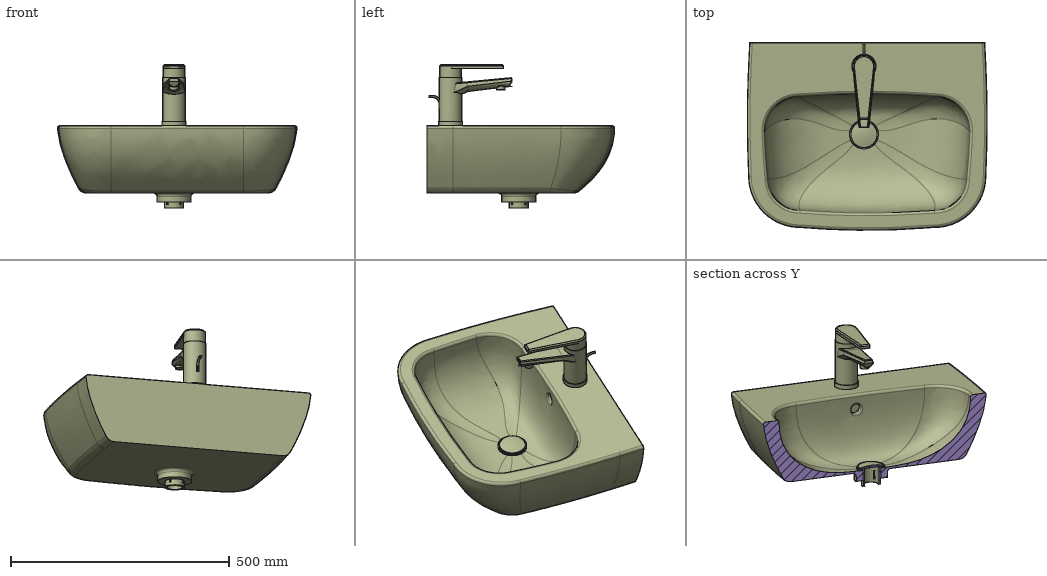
import cadquery as cq
import math


BASIN_WIDTH = 549.8
BASIN_DEPTH = 429.45
BASIN_HEIGHT = 154.5
BACK_TAPER = 5.5
REAR_SEAM_TAPER = 2.5
REAR_SEAM_Y = -60
FRONT_SEAM_Y = -307
SIDE_FRONT_TAPER = 3.0
FRONT_SEAM_X = 152
FRONT_BOW = 6.5
WIDTH_DROP = 55.0
WIDTH_POWER = 1.6
DEPTH_DROP = 87.0
DEPTH_POWER = 2.27
SEAM_DROP_SHARE = 0.33
SHELL_LEVELS = 5
EDGE_MARGIN = 1
RIM_FILLET = 6
UNDERSIDE_FILLET = 22
CORNER_BULGE = math.sqrt(2) - 1

FITTING_X = -7.5
TAP_Y = -54
DRAIN_Y = -210

OPENING_SIDE_X = 235
OPENING_FRONT_SIDE_X = 228
OPENING_BACK_X = 158
OPENING_FRONT_X = 154.5
OPENING_BACK_Y = -123
OPENING_SIDE_REAR_Y = -202
OPENING_SIDE_FRONT_Y = -312
OPENING_FRONT_Y = -384
OPENING_BOW = 6
REAR_SEAM_BULGE = 27
SIDE_SEAM_BULGE = 14
FRONT_SEAM_BULGE = 25
BULGE_PEAK = 4 / 27
SIDE_BOW = 1.0
BOWL_DEPTH = 149
BOWL_POWER = 2.4
BOWL_LEVELS = 6
BOWL_FLOOR_RADIUS = 33
FLOOR_SEAM_ANGLES = (38, 17, -24, -42)
BOWL_FILLET = 6
OVERFLOW_DIAMETER = 25
OVERFLOW_Z = -37
OVERFLOW_LENGTH = 40
OVERFLOW_FILLET = 3
OVERFLOW_MOUTH = 20

COLLAR_DIAMETER = 78
COLLAR_BOTTOM = -175
COLLAR_FLARE = 8

WASTE_DIAMETER = 44
WASTE_BORE = 35
WASTE_BOTTOM = -189
WASTE_FLANGE_DIAMETER = 2 * BOWL_FLOOR_RADIUS
WASTE_FLANGE_HEIGHT = 3
SLOT_COUNT = 4
SLOT_WIDTH = 3
SLOT_BOTTOM = -181
SLOT_HEIGHT = 20
PLUG_DIAMETER = 60
PLUG_EDGE = 3
PLUG_DOME = 4

TAP_DIAMETER = 52
BASE_RING_DIAMETER = 55
BASE_RING_HEIGHT = 10
TAP_TOP = 110
CAP_DIAMETER = 50
LEVER_BOTTOM = 130.5
LEVER_TOP = 139.45
LEVER_END_Y = -175.5
LEVER_END_HALF_WIDTH = 12
LEVER_CHAMFER = 3
LEVER_END_FILLET = 3

SPOUT_END_Y = -194.5
SPOUT_BEVEL = 2
SPOUT_ROOT = (-58, 97, 74, 61, 24, 25)
SPOUT_KNEE = (-93, 100.3, 90, 78, 20.3, 22)
SPOUT_TIP = (SPOUT_END_Y, 110, 102, 90, 9.5, 11.5)
SPOUT_TIP_SLANT = 6
SPOUT_TIP_SLANT_HEIGHT = 11

AERATOR_DIAMETER = 20
AERATOR_Y = -169
AERATOR_BOTTOM = 82
AERATOR_TOP = 92

ROD_DIAMETER = 5
ROD_END_Y = -4.75
ROD_TOP = 67
ROD_BEND_Y = -12
ROD_BEND_RADIUS = 18
ROD_BOTTOM = 38


def between(start, end, share):
    return tuple(a + share * (b - a) for a, b in zip(start, end))


def corner_point(side, end):
    """Middle of the round corner that joins a side end to a front or back end."""
    chord_middle = between(side, end, 0.5)
    return between(chord_middle, (side[0], end[1]), CORNER_BULGE)


def mirrored(point):
    return (-point[0], point[1])


def cylinder(diameter, bottom, top, y):
    return cq.Workplane("XY", origin=(FITTING_X, y, bottom)).circle(diameter / 2).extrude(top - bottom)


def shell_outline(z):
    level = -z / BASIN_HEIGHT
    side_lean = WIDTH_DROP * level**WIDTH_POWER
    front_lean = DEPTH_DROP * level**DEPTH_POWER
    half = BASIN_WIDTH / 2 - side_lean
    seam_y = FRONT_SEAM_Y + SEAM_DROP_SHARE * front_lean
    front_y = -BASIN_DEPTH + front_lean

    back = (half - BACK_TAPER, 0)
    rear = (half - REAR_SEAM_TAPER, REAR_SEAM_Y)
    side_middle = (half, (REAR_SEAM_Y + seam_y) / 2)
    side = (half - SIDE_FRONT_TAPER, seam_y)
    front = (FRONT_SEAM_X, front_y + FRONT_BOW)
    corner = corner_point(side, front)
    return (
        cq.Workplane("XY", origin=(0, 0, z))
        .moveTo(*mirrored(back))
        .lineTo(*back)
        .lineTo(*rear)
        .threePointArc(side_middle, side)
        .threePointArc(corner, front)
        .threePointArc((0, front_y), mirrored(front))
        .threePointArc(mirrored(corner), mirrored(side))
        .threePointArc(mirrored(side_middle), mirrored(rear))
        .close()
        .val()
    )


def make_shell():
    heights = [-BASIN_HEIGHT * i / (SHELL_LEVELS - 1) for i in range(SHELL_LEVELS)]
    shell = cq.Workplane(cq.Solid.makeLoft([shell_outline(z) for z in heights]))
    wall_edges = cq.selectors.BoxSelector(
        (-BASIN_WIDTH, -BASIN_DEPTH - EDGE_MARGIN, -BASIN_HEIGHT - EDGE_MARGIN),
        (BASIN_WIDTH, -EDGE_MARGIN, EDGE_MARGIN),
    )
    shell = shell.faces(">Z").edges(wall_edges).fillet(RIM_FILLET)
    return shell.faces("<Z").edges(wall_edges).fillet(UNDERSIDE_FILLET)


def opening_points(bulge):
    """Seam ends and arc middles of the opening, clockwise from the back middle, pushed out by bulge."""
    back = (OPENING_BACK_X, OPENING_BACK_Y)
    rear = (OPENING_SIDE_X, OPENING_SIDE_REAR_Y + bulge * REAR_SEAM_BULGE)
    side = (OPENING_FRONT_SIDE_X, OPENING_SIDE_FRONT_Y - bulge * SIDE_SEAM_BULGE)
    front = (OPENING_FRONT_X + bulge * FRONT_SEAM_BULGE, OPENING_FRONT_Y)
    side_middle = between(rear, side, 0.5)
    right = [
        back,
        corner_point(rear, back),
        rear,
        (side_middle[0] + SIDE_BOW, side_middle[1]),
        side,
        corner_point(side, front),
        front,
    ]
    left = [mirrored(point) for point in reversed(right)]
    return [(0, OPENING_BACK_Y + OPENING_BOW), *right, (0, OPENING_FRONT_Y - OPENING_BOW), *left]


def floor_points():
    """Points on the round bowl floor that match the opening points one to one."""
    right = []
    for start, end in zip(FLOOR_SEAM_ANGLES, FLOOR_SEAM_ANGLES[1:]):
        right += [start, (start + end) / 2]
    right.append(FLOOR_SEAM_ANGLES[-1])
    left = [180 - angle for angle in reversed(right)]
    angles = [90, *right, -90, *left]
    return [
        (
            FITTING_X + BOWL_FLOOR_RADIUS * math.cos(math.radians(angle)),
            DRAIN_Y + BOWL_FLOOR_RADIUS * math.sin(math.radians(angle)),
        )
        for angle in angles
    ]


def bowl_outline(inward, z):
    bulge = inward * (1 - inward) / BULGE_PEAK
    points = [between(a, b, inward) for a, b in zip(opening_points(bulge), floor_points())]
    outline = cq.Workplane("XY", origin=(0, 0, z)).moveTo(*points[-1])
    outline = outline.threePointArc(points[0], points[1])
    for i in range(2, len(points), 2):
        outline = outline.threePointArc(points[i], points[i + 1])
    return outline.close().val()


def make_bowl():
    outlines = []
    for i in range(BOWL_LEVELS):
        angle = math.pi / 2 * i / (BOWL_LEVELS - 1)
        inward = 1 - abs(math.cos(angle)) ** (2 / BOWL_POWER)
        depth = BOWL_DEPTH * math.sin(angle) ** (2 / BOWL_POWER)
        outlines.append(bowl_outline(inward, -depth))
    return cq.Workplane(cq.Solid.makeLoft(outlines))


def make_collar():
    radius = COLLAR_DIAMETER / 2
    flare_bottom = -BASIN_HEIGHT - COLLAR_FLARE
    buried_top = -BASIN_HEIGHT + EDGE_MARGIN
    return (
        cq.Workplane("XZ", origin=(FITTING_X, DRAIN_Y, 0))
        .moveTo(0, buried_top)
        .lineTo(radius + COLLAR_FLARE, buried_top)
        .lineTo(radius + COLLAR_FLARE, -BASIN_HEIGHT)
        .radiusArc((radius, flare_bottom), -COLLAR_FLARE)
        .lineTo(radius, COLLAR_BOTTOM)
        .lineTo(0, COLLAR_BOTTOM)
        .close()
        .revolve(360, (0, 0, 0), (0, 1, 0))
    )


def make_basin():
    basin = make_shell().cut(make_bowl())
    reach = OPENING_BOW + EDGE_MARGIN
    opening = cq.selectors.BoxSelector(
        (-OPENING_SIDE_X - reach, OPENING_FRONT_Y - reach, -EDGE_MARGIN),
        (OPENING_SIDE_X + reach, OPENING_BACK_Y + reach, EDGE_MARGIN),
    )
    basin = basin.edges(opening).fillet(BOWL_FILLET)
    overflow = (
        cq.Workplane("XZ", origin=(FITTING_X, OPENING_BACK_Y + OVERFLOW_LENGTH / 2, OVERFLOW_Z))
        .circle(OVERFLOW_DIAMETER / 2)
        .extrude(OVERFLOW_LENGTH)
    )
    mouth = cq.selectors.BoxSelector(
        (FITTING_X - OVERFLOW_MOUTH, OPENING_BACK_Y - OVERFLOW_MOUTH, OVERFLOW_Z - OVERFLOW_MOUTH),
        (FITTING_X + OVERFLOW_MOUTH, OPENING_BACK_Y + OVERFLOW_LENGTH / 4, OVERFLOW_Z + OVERFLOW_MOUTH),
    )
    basin = basin.cut(overflow).edges(mouth).fillet(OVERFLOW_FILLET)
    return basin.union(make_collar()).cut(cylinder(WASTE_DIAMETER, WASTE_BOTTOM, 0, DRAIN_Y))


def make_waste():
    flange_top = -BOWL_DEPTH + WASTE_FLANGE_HEIGHT
    waste = cylinder(WASTE_DIAMETER, WASTE_BOTTOM, flange_top, DRAIN_Y)
    waste = waste.union(cylinder(WASTE_FLANGE_DIAMETER, -BOWL_DEPTH, flange_top, DRAIN_Y))
    waste = waste.cut(cylinder(WASTE_BORE, WASTE_BOTTOM, flange_top, DRAIN_Y))
    for i in range(SLOT_COUNT):
        slot = (
            cq.Workplane("XY")
            .box(WASTE_DIAMETER, SLOT_WIDTH, SLOT_HEIGHT, centered=(False, True, False))
            .rotate((0, 0, 0), (0, 0, 1), 45 + i * 360 / SLOT_COUNT)
            .translate((FITTING_X, DRAIN_Y, SLOT_BOTTOM))
        )
        waste = waste.cut(slot)
    return waste


def make_plug():
    radius = PLUG_DIAMETER / 2
    dome_radius = (radius**2 + PLUG_DOME**2) / (2 * PLUG_DOME)
    return (
        cq.Workplane("XZ", origin=(FITTING_X, DRAIN_Y, -BOWL_DEPTH + WASTE_FLANGE_HEIGHT))
        .lineTo(radius, 0)
        .lineTo(radius, PLUG_EDGE)
        .radiusArc((0, PLUG_EDGE + PLUG_DOME), -dome_radius)
        .close()
        .revolve(360, (0, 0, 0), (0, 1, 0))
    )


def spout_outline(y, top, middle, bottom, top_half, middle_half):
    return (
        cq.Workplane("XZ", origin=(FITTING_X, y, 0))
        .moveTo(SPOUT_BEVEL - top_half, top)
        .lineTo(top_half - SPOUT_BEVEL, top)
        .lineTo(top_half, top - SPOUT_BEVEL)
        .lineTo(middle_half, middle)
        .threePointArc((0, bottom), (-middle_half, middle))
        .lineTo(-top_half, top - SPOUT_BEVEL)
        .close()
        .val()
    )


def spout_tip_wedge(edge_z, drop, setback):
    """Wedge that slants the tip face, from edge_z down by drop (up if negative) and in by setback."""
    return (
        cq.Workplane("YZ", origin=(FITTING_X, SPOUT_END_Y, edge_z))
        .lineTo(0, -drop)
        .lineTo(setback, -drop)
        .close()
        .extrude(TAP_DIAMETER, both=True)
    )


def make_spout():
    sections = [spout_outline(*section) for section in (SPOUT_ROOT, SPOUT_KNEE, SPOUT_TIP)]
    spout = cq.Workplane(cq.Solid.makeLoft(sections, True))
    tip_top = SPOUT_TIP[1]
    tip_bottom = SPOUT_TIP[3]
    lower_wedge = spout_tip_wedge(
        tip_bottom + SPOUT_TIP_SLANT_HEIGHT, SPOUT_TIP_SLANT_HEIGHT, SPOUT_TIP_SLANT
    )
    upper_wedge = spout_tip_wedge(tip_top - SPOUT_BEVEL, -SPOUT_BEVEL, SPOUT_BEVEL)
    return spout.cut(lower_wedge).cut(upper_wedge)


def make_aerator():
    return cylinder(AERATOR_DIAMETER, AERATOR_BOTTOM, AERATOR_TOP, AERATOR_Y)


def make_base_ring():
    return cylinder(BASE_RING_DIAMETER, 0, BASE_RING_HEIGHT, TAP_Y)


def make_rod():
    bend_end = (ROD_BEND_Y - ROD_BEND_RADIUS, ROD_TOP - ROD_BEND_RADIUS)
    path = (
        cq.Workplane("YZ", origin=(FITTING_X, 0, 0))
        .moveTo(ROD_END_Y, ROD_TOP)
        .lineTo(ROD_BEND_Y, ROD_TOP)
        .radiusArc(bend_end, -ROD_BEND_RADIUS)
        .lineTo(bend_end[0], ROD_BOTTOM)
    )
    return cq.Workplane("XZ", origin=(FITTING_X, ROD_END_Y, ROD_TOP)).circle(ROD_DIAMETER / 2).sweep(path)


def make_tap_body():
    column = cylinder(TAP_DIAMETER, BASE_RING_HEIGHT, TAP_TOP, TAP_Y)
    return column.union(make_spout()).cut(make_aerator()).cut(make_rod())


def make_lever():
    """Round cap on the column, carrying a flat handle that tapers towards the front."""
    radius = CAP_DIAMETER / 2
    tip = (LEVER_END_HALF_WIDTH, LEVER_END_Y - TAP_Y)
    reach = math.hypot(*tip)
    touch_angle = math.atan2(tip[1], tip[0]) + math.acos(radius / reach)
    touch = (radius * math.cos(touch_angle), radius * math.sin(touch_angle))
    handle = (
        cq.Workplane("XY", origin=(FITTING_X, TAP_Y, LEVER_BOTTOM))
        .moveTo(*touch)
        .threePointArc((0, radius), mirrored(touch))
        .lineTo(*mirrored(tip))
        .lineTo(*tip)
        .close()
        .extrude(LEVER_TOP - LEVER_BOTTOM)
        .edges("|Z and <Y")
        .fillet(LEVER_END_FILLET)
        .faces(">Z")
        .edges()
        .chamfer(LEVER_CHAMFER)
    )
    return cylinder(CAP_DIAMETER, TAP_TOP, LEVER_BOTTOM, TAP_Y).union(handle)


basin = make_basin()
waste = make_waste()
plug = make_plug()
base_ring = make_base_ring()
tap_body = make_tap_body()
aerator = make_aerator()
lever = make_lever()
rod = make_rod()

bodies = [basin, waste, plug, base_ring, tap_body, aerator, lever, rod]
result = cq.Compound.makeCompound([body.val() for body in bodies])